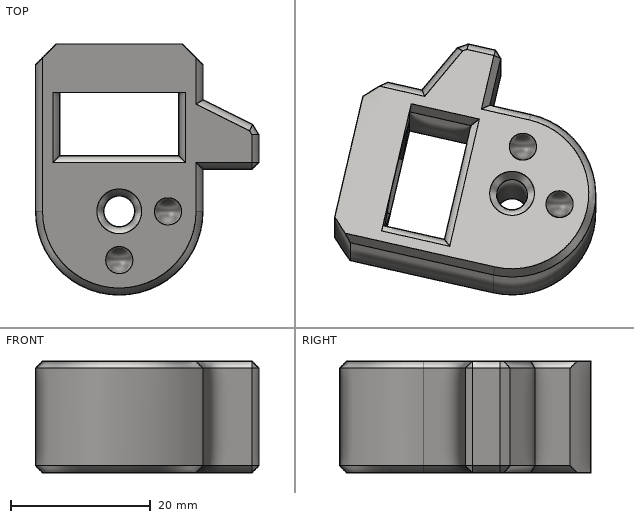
import cadquery as cq
import math

length = 36.0
nose_radius = length / 3
rear_y = length - nose_radius
height = 16.0
edge_chamfer = 1.0
rear_corner_chamfer = 3.0

tab_tip_x = 20.0
tab_front_y = 6.0
tab_tip_rear_y = 12.0
tab_root_rear_y = 16.0

window_half_width = 8.5
window_front_y = 8.0
window_rear_y = 17.0
match_tolerance = 0.005

nut_across_flats = 14.0
nut_depth = 5.0
screw_diameter = 8.2

pivot_diameter = 4.4
dimple_offset = 7.0
dimple_radius = 1.95


def make_body():
    """Extruded outline, bevelled all round except along the rear face."""
    body = (
        cq.Workplane("XY")
        .moveTo(-nose_radius, 0)
        .threePointArc((0, -nose_radius), (nose_radius, 0))
        .lineTo(nose_radius, tab_front_y)
        .lineTo(tab_tip_x, tab_front_y)
        .lineTo(tab_tip_x, tab_tip_rear_y)
        .lineTo(nose_radius, tab_root_rear_y)
        .lineTo(nose_radius, rear_y)
        .lineTo(-nose_radius, rear_y)
        .close()
        .extrude(height)
    )
    rims = body.faces("|Z").edges("not(>Y)")
    tip_corners = body.faces(">X").edges("|Z")
    body = body.newObject(rims.vals() + tip_corners.vals()).chamfer(edge_chamfer)
    return body.faces(">Y").edges("|Z").chamfer(rear_corner_chamfer)


def cut_window(body):
    """Through window, bevelled at the top on its front and two sides."""
    depth = window_rear_y - window_front_y
    window = (
        cq.Workplane("XY", origin=(0, window_front_y + depth / 2, 0))
        .rect(2 * window_half_width, depth)
        .extrude(height)
    )
    window_rim = window.faces(">Z").edges("not(>Y)").vals()
    rim_midpoints = [edge.Center() for edge in window_rim]
    body = body.cut(window)
    bevelled = [
        edge
        for edge in body.faces(">Z").edges().vals()
        if any((edge.Center() - midpoint).Length < match_tolerance for midpoint in rim_midpoints)
    ]
    return body.newObject(bevelled).chamfer(edge_chamfer)


def make_nut_pocket():
    """Hexagonal pocket opening into the window, with a screw hole out of the rear face."""
    wall_plane = cq.Plane(origin=(0, window_rear_y, height / 2), xDir=(1, 0, 0), normal=(0, 1, 0))
    across_corners = nut_across_flats / math.cos(math.radians(30))
    pocket = cq.Workplane(wall_plane).polygon(6, across_corners).extrude(nut_depth)
    screw_hole = cq.Workplane(wall_plane).circle(screw_diameter / 2).extrude(rear_y - window_rear_y)
    return pocket.union(screw_hole)


def make_pivot_hole():
    """Vertical through hole, countersunk at the top."""
    radius = pivot_diameter / 2
    return (
        cq.Workplane("XZ")
        .polyline([
            (0, 0),
            (radius, 0),
            (radius, height - edge_chamfer),
            (radius + edge_chamfer, height),
            (0, height),
        ])
        .close()
        .revolve(360, (0, 0, 0), (0, 1, 0))
    )


def make_dimples():
    """Two hemispherical dimples in the top face."""
    centres = [(dimple_offset, 0), (0, -dimple_offset)]
    return cq.Workplane("XY", origin=(0, 0, height)).pushPoints(centres).sphere(dimple_radius)


result = (
    cut_window(make_body())
    .cut(make_nut_pocket())
    .cut(make_pivot_hole())
    .cut(make_dimples())
)